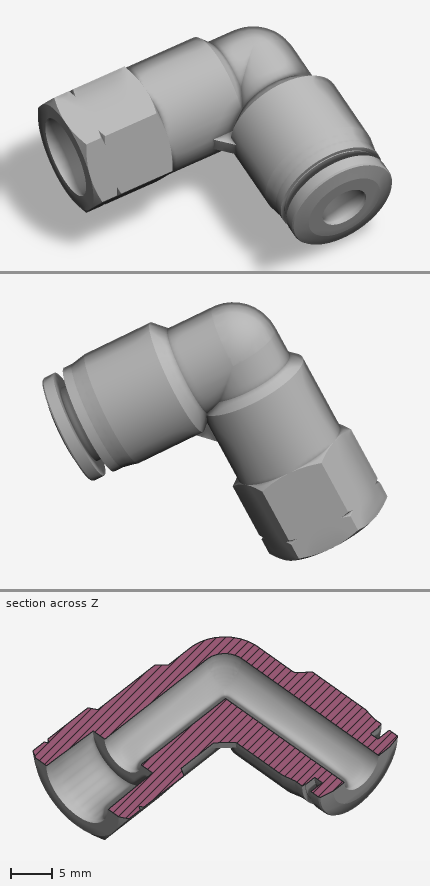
import cadquery as cq
import math


body_radius = 14.8 / 2
outlet_end = 22.95
body_cone_start = 6.05
body_start = 7.68
taper_start = 16.53
taper_end = 18.47
body_end = 19.67
lip_radius = 7.0
insert_end = 19.77
insert_radius = 6.48
neck_radius = 4.95
collar_start = 20.98
collar_radius = 6.95
collar_edge_start = 22.35
collar_cone_start = 22.55
collar_cone_radius = 6.8
collar_face_radius = 4.95

overall_length = 33.4
inlet_end = overall_length - body_radius
hex_flats = 14.0
hex_length = 11.0
hex_start = inlet_end - hex_length
sleeve_radius = hex_flats / 2
sleeve_cone_start = 3.8
sleeve_start = 5.0

hex_corner_radius = hex_flats / 2 / math.cos(math.radians(30))
bevel_length = (hex_corner_radius - sleeve_radius) * math.tan(math.radians(30))
notch_position = 23.05
notch_radius = 7.58
notch_half_width = 0.3

elbow_radius = 5.8
passage_radius = 3.0
socket_floor_radius = 4.95
socket_depth = 8.0
socket_mouth_radius = 5.15
rib_reach = 16.3
rib_width = 1.9


def turned_on_x(points):
    """Revolve an (axial position, radius) outline about the X axis."""
    return cq.Workplane("XY").polyline(points).close().revolve(360, (0, 0, 0), (1, 0, 0))


def turned_on_inlet(points):
    """Revolve an (axial position, radius) outline about the inlet axis."""
    return turned_on_x(points).rotate((0, 0, 0), (0, 0, 1), -90)


def make_elbow(radius, inlet_length, outlet_length):
    """Two round legs joined by a ball at the corner."""
    inlet_leg = cq.Workplane("XZ").circle(radius).extrude(inlet_length)
    outlet_leg = cq.Workplane("YZ").circle(radius).extrude(outlet_length)
    return cq.Workplane("XY").sphere(radius).union(inlet_leg).union(outlet_leg)


def make_outlet():
    return turned_on_x([
        (body_cone_start, 0),
        (body_cone_start, elbow_radius),
        (body_start, body_radius),
        (taper_start, body_radius),
        (taper_end, lip_radius),
        (body_end, lip_radius),
        (body_end, insert_radius),
        (insert_end, insert_radius),
        (insert_end, neck_radius),
        (collar_start, neck_radius),
        (collar_start, collar_radius),
        (collar_edge_start, collar_radius),
        (collar_cone_start, collar_cone_radius),
        (outlet_end, collar_face_radius),
        (outlet_end, 0),
    ])


def make_sleeve():
    return turned_on_inlet([
        (sleeve_cone_start, 0),
        (sleeve_cone_start, elbow_radius),
        (sleeve_start, sleeve_radius),
        (hex_start, sleeve_radius),
        (hex_start, 0),
    ])


def make_hex():
    prism = (
        cq.Workplane("XZ", origin=(0, -hex_start, 0))
        .polygon(6, 2 * hex_corner_radius)
        .extrude(hex_length)
    )
    envelope = turned_on_inlet([
        (hex_start, 0),
        (hex_start, sleeve_radius),
        (hex_start + bevel_length, hex_corner_radius),
        (notch_position - notch_half_width, hex_corner_radius),
        (notch_position, notch_radius),
        (notch_position + notch_half_width, hex_corner_radius),
        (inlet_end - bevel_length, hex_corner_radius),
        (inlet_end, sleeve_radius),
        (inlet_end, 0),
    ])
    return prism.intersect(envelope)


def make_rib():
    """Triangular web filling the inside of the corner."""
    return (
        cq.Workplane("XY")
        .polyline([(0, 0), (rib_reach, 0), (0, -rib_reach)])
        .close()
        .extrude(rib_width / 2, both=True)
    )


def make_socket():
    """Bore that narrows slightly from the mouth to its floor."""
    socket_floor = inlet_end - socket_depth
    return turned_on_inlet([
        (socket_floor, 0),
        (socket_floor, socket_floor_radius),
        (inlet_end, socket_mouth_radius),
        (inlet_end, 0),
    ])


outside = make_elbow(elbow_radius, sleeve_start, body_start)
for section in (make_outlet(), make_sleeve(), make_hex(), make_rib()):
    outside = outside.union(section)

passage = make_elbow(passage_radius, inlet_end, outlet_end)
result = outside.cut(passage).cut(make_socket())